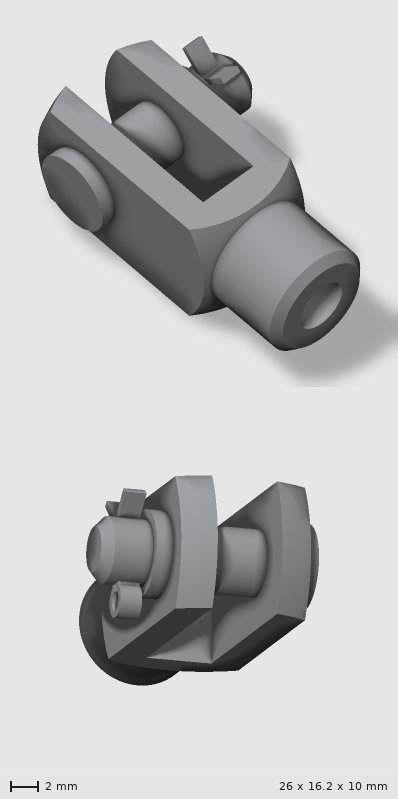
import cadquery as cq
import math

fork_width = 10.0
corner_clearance = 0.1
fork_tip_x = -6.0
shoulder_x = 13.08
slot_width = 5.0
slot_end_x = 10.0
front_dome_radius = 11.0
shoulder_dome_radius = 10.0

shank_diameter = 9.0
shank_end_x = 20.0
shank_chamfer = 0.7
bore_diameter = 4.13
bore_mouth_diameter = 5.0
mouth_half_angle = 45.0

pin_diameter = 5.0
pin_end_y = 10.0
pin_chamfer = 0.8
collar_diameter = 6.5
collar_thickness = 1.25

strip_thickness = 0.5
strip_width = 1.66
strip_center_y = 7.52
strip_gap = 0.25
leg_length = 2.5
leg_angle = 45.0
leg_root = 1.0
eye_radius = 1.25

pin_radius = pin_diameter / 2
fork_half = fork_width / 2


def x_cylinder(diameter, x_start, x_end):
    """Cylinder on the shank axis."""
    return cq.Workplane("YZ", origin=(x_start, 0, 0)).circle(diameter / 2).extrude(x_end - x_start)


def y_cylinder(diameter, y_start, y_end):
    """Cylinder on the pin axis."""
    return cq.Workplane("XZ", origin=(0, y_start, 0)).circle(diameter / 2).extrude(y_start - y_end)


def dome_point(center_x, radius, height, direction):
    """Point of a circle centred on the shank axis, at a height above that axis."""
    return (center_x + direction * math.sqrt(radius**2 - height**2), height)


def make_turned_envelope():
    """Body of revolution about the shank axis: domed front, domed shoulder and chamfered shank."""
    shank_radius = shank_diameter / 2
    rim_radius = fork_half * math.sqrt(2) + corner_clearance
    front_center_x = fork_tip_x + math.sqrt(front_dome_radius**2 - (slot_width / 2) ** 2)
    back_center_x = shoulder_x - math.sqrt(shoulder_dome_radius**2 - shank_radius**2)
    shoulder_mid_height = (rim_radius + shank_radius) / 2

    profile = (
        cq.Workplane("XY")
        .moveTo(front_center_x - front_dome_radius, 0)
        .threePointArc(
            dome_point(front_center_x, front_dome_radius, rim_radius / 2, -1),
            dome_point(front_center_x, front_dome_radius, rim_radius, -1),
        )
        .lineTo(*dome_point(back_center_x, shoulder_dome_radius, rim_radius, 1))
        .threePointArc(
            dome_point(back_center_x, shoulder_dome_radius, shoulder_mid_height, 1),
            (shoulder_x, shank_radius),
        )
        .lineTo(shank_end_x - shank_chamfer, shank_radius)
        .lineTo(shank_end_x, shank_radius - shank_chamfer)
        .lineTo(shank_end_x, 0)
        .close()
    )
    return profile.revolve(360, (0, 0, 0), (1, 0, 0))


def make_fork():
    stock_length = 2 * shank_end_x
    square_bar = cq.Workplane("XY").box(stock_length, fork_width, fork_width)
    fork = make_turned_envelope().intersect(square_bar)
    slot = cq.Workplane("XY").box(stock_length, slot_width, fork_width)
    slot = slot.translate((slot_end_x - stock_length / 2, 0, 0))
    bore = x_cylinder(bore_diameter, slot_end_x, shank_end_x)
    mouth_step = (bore_mouth_diameter - bore_diameter) / 2
    mouth_depth = mouth_step / math.tan(math.radians(mouth_half_angle))
    mouth = cq.Workplane("YZ", origin=(slot_end_x, 0, 0)).circle(bore_mouth_diameter / 2)
    mouth = mouth.extrude(mouth_depth, taper=mouth_half_angle)
    return fork.cut(slot).cut(bore).cut(mouth)


def make_pin():
    collar_outer_y = fork_half + collar_thickness
    shaft = y_cylinder(pin_diameter, -collar_outer_y, pin_end_y).faces(">Y").chamfer(pin_chamfer)
    head = y_cylinder(collar_diameter, -collar_outer_y, -fork_half)
    washer = y_cylinder(collar_diameter, fork_half, collar_outer_y)
    return shaft.union(head).union(washer)


def make_split_pin():
    eye_center_z = -pin_radius - eye_radius
    eye_inner_radius = eye_radius - strip_thickness
    eye = cq.Workplane("XZ").center(0, eye_center_z).circle(eye_radius).circle(eye_inner_radius)
    eye = eye.extrude(strip_width / 2, both=True)
    neck_opening = cq.Workplane("XY").box(strip_gap, strip_width, eye_radius, centered=(True, True, False))
    split_pin = eye.cut(neck_opening.translate((0, 0, eye_center_z)))

    strand_top_z = leg_root - pin_radius
    strand_bottom_z = eye_center_z + eye_inner_radius
    for side in (-1, 1):
        strand = cq.Workplane("XY").box(
            strip_thickness, strip_width, strand_top_z - strand_bottom_z, centered=(True, True, False)
        )
        strand_x = side * (strip_gap + strip_thickness) / 2
        split_pin = split_pin.union(strand.translate((strand_x, 0, strand_bottom_z)))

        leg = cq.Workplane("XY").box(
            strip_thickness, strip_width, leg_length + leg_root, centered=(True, True, False)
        ).translate((side * strip_thickness / 2, 0, -leg_root))
        leg = leg.rotate((0, 0, 0), (0, 1, 0), side * leg_angle)
        split_pin = split_pin.union(leg.translate((side * strip_gap / 2, 0, pin_radius)))
    return split_pin.translate((0, strip_center_y, 0))


result = make_fork().union(make_pin()).union(make_split_pin())